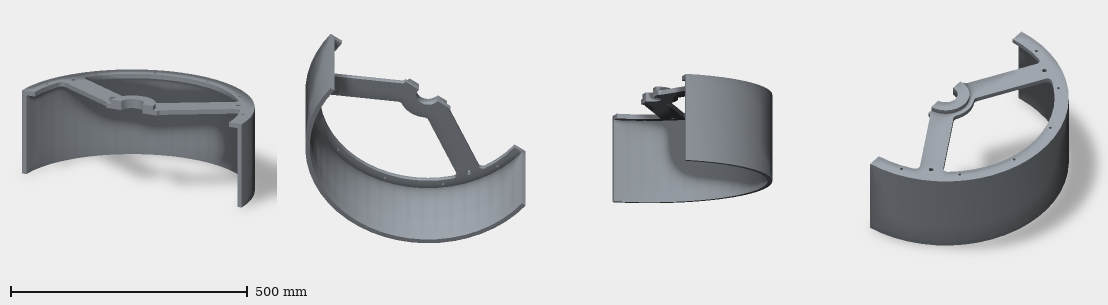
import cadquery as cq
import math

drum_radius = 260
drum_height = 185
wall_thickness = 10
web_thickness = 10
rim_inner_radius = 230

hub_radius = 60
boss_radius = 50
boss_height = 10
bore_radius = 25

spoke_width = 50
spoke_angles = [30, 150]
web_corner_radius = 10

rim_hole_diameter = 6
rim_hole_circle_radius = 240
rim_hole_angles = [15, 45, 75, 105, 135, 165]
spoke_hole_diameter = 10
spoke_hole_circle_radius = 225

web_bottom = drum_height - web_thickness
total_height = drum_height + boss_height


def polar_points(radius, angles):
    """Points at the given angles, in degrees, on a circle about the drum axis."""
    return [
        (radius * math.cos(math.radians(angle)), radius * math.sin(math.radians(angle)))
        for angle in angles
    ]


def disc(radius, bottom, top):
    return cq.Workplane("XY").workplane(offset=bottom).circle(radius).extrude(top - bottom)


def make_wall():
    inner_radius = drum_radius - wall_thickness
    return disc(drum_radius, 0, drum_height).cut(disc(inner_radius, 0, drum_height))


def make_windows():
    """Upper window and the two side windows between the spokes, with rounded corners."""
    sectors = disc(rim_inner_radius, web_bottom, drum_height)
    for angle in spoke_angles:
        bar = (
            cq.Workplane("XY")
            .workplane(offset=web_bottom)
            .rect(2 * drum_radius, spoke_width)
            .extrude(web_thickness)
            .rotate((0, 0, 0), (0, 0, 1), angle)
        )
        sectors = sectors.cut(bar)

    upper = cq.Workplane(sectors.solids(">Y").val())
    upper = upper.cut(disc(hub_radius, web_bottom, drum_height))
    windows = upper.edges("|Z").fillet(web_corner_radius)
    for side in ("<X", ">X"):
        sector = cq.Workplane(sectors.solids(side).val())
        windows = windows.add(sector.edges("|Z").fillet(web_corner_radius))
    return windows.combine()


def make_holes(diameter, circle_radius, angles):
    return (
        cq.Workplane("XY")
        .workplane(offset=web_bottom)
        .pushPoints(polar_points(circle_radius, angles))
        .circle(diameter / 2)
        .extrude(web_thickness)
    )


def make_half_space():
    """Block that keeps the Y >= 0 side of the wheel."""
    return cq.Workplane("XY").box(
        2 * drum_radius, drum_radius, total_height, centered=(True, False, False)
    )


web = disc(drum_radius, web_bottom, drum_height).cut(make_windows())
wheel = make_wall().union(web)
wheel = wheel.union(disc(boss_radius, web_bottom, total_height))
wheel = wheel.cut(disc(bore_radius, web_bottom, total_height))
wheel = wheel.cut(make_holes(rim_hole_diameter, rim_hole_circle_radius, rim_hole_angles))
wheel = wheel.cut(make_holes(spoke_hole_diameter, spoke_hole_circle_radius, spoke_angles))

result = wheel.intersect(make_half_space())